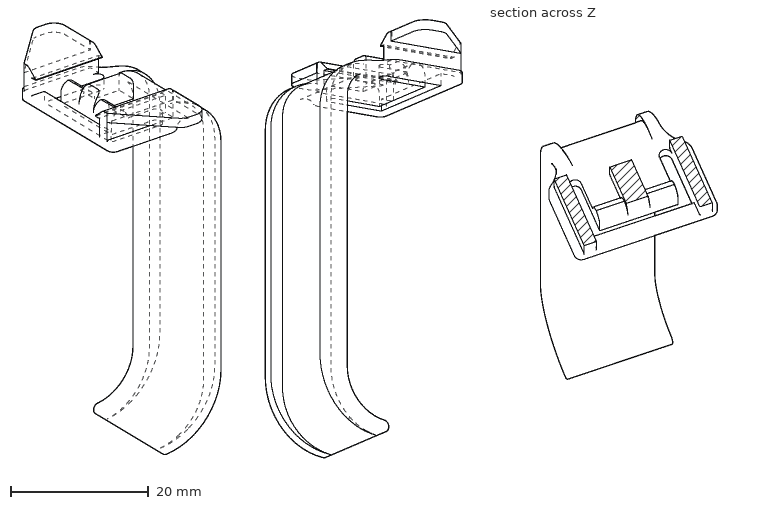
import cadquery as cq
import math

edge_round = 0.2

plate_thickness = 1.8
plate_half_width = 11.1
front_corner_radius = 1.1
flare_start_y = 10.9
flare_convex_radius = 2.0
flare_concave_radius = 5.0

strap_half_width = 8.25
strap_back_y = 22.16
strap_front_y = 18.4
bend_inner_radius = 4.0
web_thickness = plate_thickness
bottom_z = -55.64
curl_outer_start_z = -45.0
curl_inner_start_z = -46.66
tip_radius = 0.92
tip_y = 12.16
bend_y = strap_front_y - bend_inner_radius
bend_end_z = -plate_thickness - bend_inner_radius
web_back_y = strap_front_y + web_thickness

groove_half_width = 6.6
groove_draft = math.radians(3)

window_half_width = 8.0
window_front_y = 2.2
window_rear_y = 12.1
tongue_half_width = 6.1
tongue_front_y = 3.75
ridge_depth = 2.84
ridge_height = 1.7
crest_y = tongue_front_y + ridge_depth / 2

tab_half_width = 1.72
tab_rear_y = 11.05
tab_height = 3.05
tab_round = 0.75

top_z = 4.4
post_outer_x = 10.0
post_inner_x = window_half_width
post_rear_y = window_rear_y
post_root_z = -plate_thickness / 2
hook_corner_x = 9.02
hook_tip_x = 7.15
hook_drop = 1.5
hook_lip = 0.1
hook_round = 1.0
wing_thickness = 1.5
wing_half_span = 18.1
wing_corner_y = 7.9
wing_round = 2.0


def both_sides(shape):
    """Join a right-hand shape with its mirror image."""
    return shape.union(shape.mirror("YZ"))


def extrude_across(profile, half_width):
    """Extrude a closed YZ outline symmetrically along X."""
    return profile.extrude(half_width, both=True)


def side_profile(back_y, curl_start_z):
    """Side outline of plate, bend and strap whose back face lies at back_y."""
    bend_outer_radius = back_y - bend_y
    return (
        cq.Workplane("YZ")
        .moveTo(0, 0)
        .lineTo(bend_y, 0)
        .tangentArcPoint((back_y, -bend_outer_radius), relative=False)
        .lineTo(back_y, curl_start_z)
        .tangentArcPoint(tip_joint(back_y, curl_start_z, -1), relative=False)
        .tangentArcPoint(tip_joint(strap_front_y, curl_inner_start_z, 1), relative=False)
        .tangentArcPoint((strap_front_y, curl_inner_start_z), relative=False)
        .lineTo(strap_front_y, bend_end_z)
        .tangentArcPoint((bend_y, -plate_thickness), relative=False)
        .lineTo(0, -plate_thickness)
        .close()
    )


def tip_joint(start_y, start_z, side):
    """Point where a curl arc, starting straight down at (start_y, start_z), touches the round tip.

    side is 1 for an arc on the inside of the curl and -1 for one on its outside.
    """
    offset = side * tip_radius
    run = start_y - tip_y
    drop = start_z - (bottom_z + tip_radius)
    arc_radius = (run ** 2 + drop ** 2 - offset ** 2) / (2 * (run + offset))
    share = offset / (arc_radius + offset)
    return (
        tip_y + share * (run - arc_radius),
        bottom_z + tip_radius + share * drop,
    )


def width_limits():
    """Space allowed in plan: wide at the plate, flaring in to the strap width below the bend."""
    narrowing = plate_half_width - strap_half_width
    flare_angle = math.acos(1 - narrowing / (flare_convex_radius + flare_concave_radius))
    joint_x = plate_half_width - flare_convex_radius * (1 - math.cos(flare_angle))
    joint_y = flare_start_y + flare_convex_radius * math.sin(flare_angle)
    strap_start_y = joint_y + flare_concave_radius * math.sin(flare_angle)
    half = (
        cq.Workplane("XY")
        .moveTo(0, 0)
        .lineTo(plate_half_width - front_corner_radius, 0)
        .tangentArcPoint((plate_half_width, front_corner_radius), relative=False)
        .lineTo(plate_half_width, flare_start_y)
        .tangentArcPoint((joint_x, joint_y), relative=False)
        .tangentArcPoint((strap_half_width, strap_start_y), relative=False)
        .lineTo(strap_half_width, strap_back_y)
        .lineTo(0, strap_back_y)
        .close()
        .extrude(bend_end_z)
    )
    strap_space = (
        cq.Workplane("XY")
        .workplane(offset=bend_end_z)
        .rect(2 * strap_half_width, 2 * strap_back_y)
        .extrude(bottom_z - bend_end_z)
    )
    return both_sides(half).union(strap_space)


def make_body():
    """Plate and strap in one piece, outer edges rounded, back groove cut."""
    solid = extrude_across(side_profile(strap_back_y, curl_outer_start_z), plate_half_width)
    body = solid.intersect(width_limits()).clean()
    front_bottom_edge = body.faces("<Y").edges("<Z")
    body = body.edges("not (|X or |Z)").add(front_bottom_edge).fillet(edge_round)
    return body.cut(make_groove())


def make_groove():
    """Drafted channel behind the web."""
    taper = (strap_back_y - tip_y) * math.tan(groove_draft)
    channel = (
        cq.Workplane("XY")
        .workplane(offset=bottom_z)
        .moveTo(-groove_half_width, strap_back_y)
        .lineTo(groove_half_width, strap_back_y)
        .lineTo(groove_half_width - taper, tip_y)
        .lineTo(taper - groove_half_width, tip_y)
        .close()
        .extrude(-bottom_z)
    )
    web = extrude_across(side_profile(web_back_y, curl_inner_start_z), plate_half_width)
    return channel.cut(web)


def cut_window(body):
    """Cut a U-shaped window that leaves a tongue; its two side slots end in half circles."""
    slot_width = window_half_width - tongue_half_width
    slot_middle_x = tongue_half_width + slot_width / 2
    round_middle_y = window_rear_y - slot_width / 2
    front_gap = (
        cq.Workplane("XY")
        .moveTo(0, (window_front_y + tongue_front_y) / 2)
        .rect(2 * window_half_width, tongue_front_y - window_front_y)
        .extrude(-plate_thickness)
    )
    slot = (
        cq.Workplane("XY")
        .moveTo(slot_middle_x, (window_front_y + round_middle_y) / 2)
        .rect(slot_width, round_middle_y - window_front_y)
        .extrude(-plate_thickness)
    )
    slot_end = (
        cq.Workplane("XY")
        .moveTo(slot_middle_x, round_middle_y)
        .circle(slot_width / 2)
        .extrude(-plate_thickness)
    )
    return body.cut(front_gap).cut(both_sides(slot.union(slot_end)))


def make_ridge():
    """Ridge across the front end of the tongue: two arcs rise vertically and meet at the crest."""
    profile = (
        cq.Workplane("YZ")
        .moveTo(crest_y, -plate_thickness)
        .lineTo(tongue_front_y, -plate_thickness)
        .lineTo(tongue_front_y, 0)
        .tangentArcPoint((crest_y, ridge_height), relative=False)
        .close()
    )
    front_half = extrude_across(profile, tongue_half_width)
    return front_half.union(front_half.mirror("XZ", (0, crest_y, 0)))


def make_tab():
    """Tab running along the tongue, curved down to the tongue's front edge."""
    block = (
        cq.Workplane("XZ")
        .rect(2 * tab_half_width, 2 * tab_height)
        .extrude(-tab_rear_y)
        .edges("|Y and >Z")
        .fillet(tab_round)
    )
    profile = (
        cq.Workplane("YZ")
        .moveTo(tongue_front_y, -plate_thickness)
        .lineTo(tongue_front_y, 0)
        .tangentArcPoint((crest_y, tab_height), relative=False)
        .lineTo(tab_rear_y, tab_height)
        .lineTo(tab_rear_y, -plate_thickness)
        .close()
    )
    return block.intersect(extrude_across(profile, tab_half_width))


def make_post():
    """Right-hand post with its inward hook."""
    hook_z = top_z - hook_drop
    post = (
        cq.Workplane("XZ")
        .moveTo(post_outer_x, post_root_z)
        .lineTo(post_outer_x, top_z)
        .lineTo(hook_corner_x, top_z)
        .lineTo(hook_tip_x, hook_z)
        .lineTo(hook_tip_x, hook_z - hook_lip)
        .lineTo(post_inner_x, hook_z - hook_lip)
        .lineTo(post_inner_x, post_root_z)
        .close()
        .extrude(-post_rear_y)
    )
    hook_edge = cq.selectors.NearestToPointSelector((hook_corner_x, post_rear_y / 2, top_z))
    inner_front_edge = cq.selectors.NearestToPointSelector((post_inner_x, 0, hook_z / 2))
    outer_rear_edge = cq.selectors.NearestToPointSelector((post_outer_x, post_rear_y, hook_z / 2))
    post = post.edges(hook_edge).fillet(hook_round)
    return post.edges(inner_front_edge).fillet(edge_round).edges(outer_rear_edge).fillet(edge_round)


def make_wing():
    """Right-hand wing, flush with the top of its post."""
    return (
        cq.Workplane("XY")
        .workplane(offset=top_z - wing_thickness)
        .moveTo(post_outer_x, 0)
        .lineTo(wing_half_span, wing_corner_y)
        .lineTo(wing_half_span, post_rear_y)
        .lineTo(post_outer_x, post_rear_y)
        .close()
        .extrude(wing_thickness)
        .edges("|Z and >X")
        .fillet(wing_round)
    )


body = cut_window(make_body())
tongue_features = make_ridge().union(make_tab())
side_features = both_sides(make_post().union(make_wing()))
result = body.union(tongue_features).union(side_features)